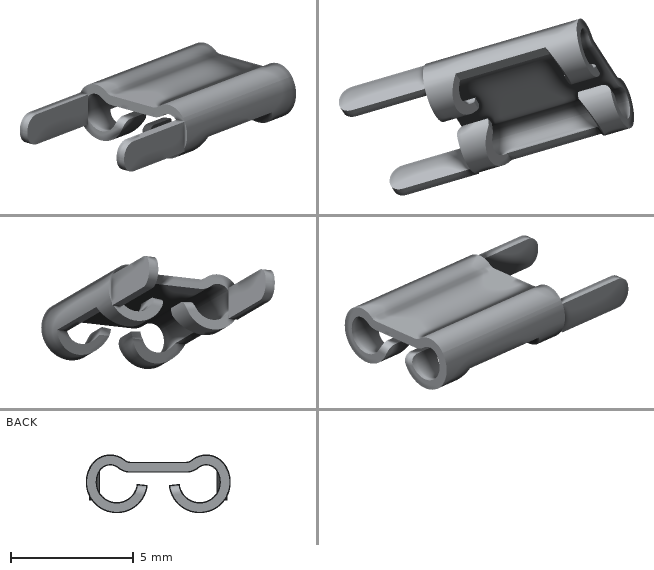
import cadquery as cq
import math

total_length = 10.67
width = 5.89
height = 2.36
thickness = 0.41

body_length = 6.86
curl_radius = 1.25
shoulder_x = 1.96
web_drop = 0.3
bend_x = 1.13
lip_angle = -6.5

notch_height = 0.81
tab_root = 1.43
tab_width = 0.96
tab_corner = 0.4

leg_height = 1.3
leg_center_z = 1.17
leg_outer_x = 2.81
leg_corner = 0.6

body_front = total_length - body_length
curl_x = width / 2 - curl_radius
curl_z = curl_radius
web_z = height - web_drop

axis_offset = shoulder_x - curl_x
axis_rise = height - curl_z
shoulder_radius = (curl_radius**2 - axis_rise**2 - axis_offset**2) / (2 * (curl_radius - axis_rise))
shoulder_z = height - shoulder_radius
bend_run = shoulder_x - bend_x
bend_drop = web_z - shoulder_z
bend_radius = (bend_run**2 + bend_drop**2 - shoulder_radius**2) / (2 * (shoulder_radius - bend_drop))
bend_z = web_z + bend_radius

seam_angle = math.degrees(math.atan2(shoulder_z - curl_z, axis_offset))
bend_angle = math.degrees(math.atan2(bend_z - shoulder_z, bend_x - shoulder_x))
free_end_angle = -180 - lip_angle


def polar(x, z, radius, angle):
    a = math.radians(angle)
    return x + radius * math.cos(a), z + radius * math.sin(a)


def arc(wire, x, z, radius, start, end):
    """Continue a wire along an arc between two directions in degrees."""
    return wire.threePointArc(polar(x, z, radius, (start + end) / 2), polar(x, z, radius, end))


def half_strip():
    """Right half of the formed strip, with full-length curls."""
    wire = cq.Workplane("XZ", origin=(0, total_length, 0)).moveTo(0, web_z).lineTo(bend_x, web_z)
    wire = arc(wire, bend_x, bend_z, bend_radius, -90, bend_angle - 180)
    wire = arc(wire, shoulder_x, shoulder_z, shoulder_radius, bend_angle, seam_angle)
    wire = arc(wire, curl_x, curl_z, curl_radius, seam_angle, free_end_angle)
    inner_curl = curl_radius - thickness
    wire = wire.lineTo(*polar(curl_x, curl_z, inner_curl, free_end_angle))
    wire = arc(wire, curl_x, curl_z, inner_curl, free_end_angle, seam_angle)
    wire = arc(wire, shoulder_x, shoulder_z, shoulder_radius - thickness, seam_angle, bend_angle)
    wire = arc(wire, bend_x, bend_z, bend_radius + thickness, bend_angle - 180, -90)
    return wire.lineTo(0, web_z - thickness).close().extrude(body_length)


def wall_notch():
    """Tapered opening through the lower part of the curl."""
    return (
        cq.Workplane("YZ")
        .moveTo(body_front + tab_width, 0)
        .lineTo(body_front + tab_root, notch_height)
        .lineTo(total_length - tab_root, notch_height)
        .lineTo(total_length - tab_width, 0)
        .close()
        .extrude(width / 2)
    )


def lip_notch():
    """Opening between the tabs on the free side of the curl."""
    free_end_z = polar(curl_x, curl_z, curl_radius - thickness, free_end_angle)[1]
    notch_length = body_length - 2 * tab_root
    return (
        cq.Workplane("XY")
        .box(curl_x, notch_length, free_end_z, centered=False)
        .translate((0, body_front + tab_root, 0))
    )


def rounded_tabs(strip):
    """Round the outer corners at the free end of the tabs."""
    end_x, end_z = polar(curl_x, curl_z, curl_radius - thickness / 2, free_end_angle)
    for y in (body_front, total_length):
        strip = strip.edges(cq.selectors.NearestToPointSelector((end_x, y, end_z))).fillet(tab_corner)
    return strip


def leg():
    """Flat leg with rounded tip corners."""
    return (
        cq.Workplane("XY")
        .box(thickness, body_front, leg_height, centered=(False, False, True))
        .edges("|X and <Y")
        .fillet(leg_corner)
        .translate((leg_outer_x - thickness, 0, leg_center_z))
    )


half = half_strip().cut(wall_notch()).cut(lip_notch())
half = rounded_tabs(half).union(leg())
result = half.union(half.mirror("YZ"))
result = result.translate((0, -total_length / 2, 0))